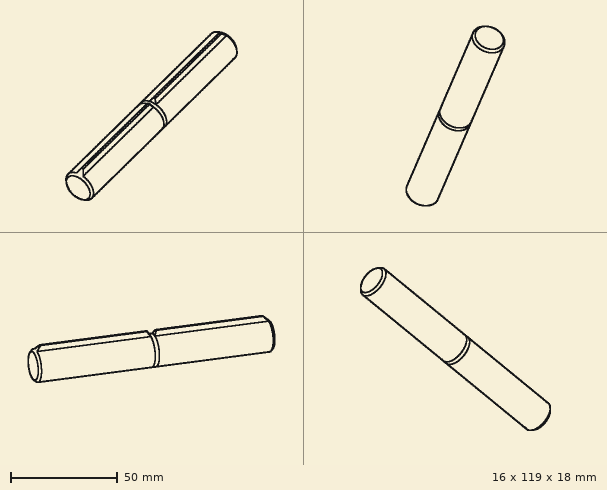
import cadquery as cq
import math

pin_length = 119.0
pin_radius = 8.0
rib_top_z = 10.0
rib_top_half_width = 0.52
rib_flank_angle = 32.0
rib_root_depth = 1.0
end_face_radius = 6.9
outer_cone_angle = 49.0
spacer_length = 2.1
inner_cone_angle = 30.0
trim_clearance = 1.0

half_length = pin_length / 2
spacer_half = spacer_length / 2
trim_radius = rib_top_z + trim_clearance
trim_rise = trim_radius - pin_radius
rib_root_z = pin_radius - rib_root_depth
rib_root_half_width = rib_top_half_width + (rib_top_z - rib_root_z) * math.tan(math.radians(rib_flank_angle))
outer_trim_start = half_length - (trim_radius - end_face_radius) * math.tan(math.radians(outer_cone_angle))
inner_trim_end = spacer_half + trim_rise * math.tan(math.radians(inner_cone_angle))


def extrude_along_y(outline, start, length):
    """Extrude an XZ outline from Y = start towards +Y."""
    return outline.extrude(-length).translate((0, start, 0))


def make_ribbed_half():
    """Half of the pin on the +Y side: a cylinder with one rib, both ends trimmed by cones."""
    length = half_length - spacer_half
    cylinder = extrude_along_y(cq.Workplane("XZ").circle(pin_radius), spacer_half, length)
    rib_outline = (
        cq.Workplane("XZ")
        .moveTo(-rib_root_half_width, rib_root_z)
        .lineTo(-rib_top_half_width, rib_top_z)
        .lineTo(rib_top_half_width, rib_top_z)
        .lineTo(rib_root_half_width, rib_root_z)
        .close()
    )
    rib = extrude_along_y(rib_outline, spacer_half, length)
    envelope = (
        cq.Workplane("XY")
        .moveTo(0, spacer_half)
        .lineTo(pin_radius, spacer_half)
        .lineTo(trim_radius, inner_trim_end)
        .lineTo(trim_radius, outer_trim_start)
        .lineTo(end_face_radius, half_length)
        .lineTo(0, half_length)
        .close()
        .revolve(360, (0, 0, 0), (0, 1, 0))
    )
    return cylinder.union(rib).intersect(envelope)


def make_spacer():
    """Plain disc held between the two halves."""
    return extrude_along_y(cq.Workplane("XZ").circle(pin_radius), -spacer_half, spacer_length)


spacer = make_spacer()
ribbed_halves = [make_ribbed_half().rotate((0, 0, 0), (0, 0, 1), turn) for turn in (0, 180)]

result = cq.Compound.makeCompound([spacer.val(), *[half.val() for half in ribbed_halves]])